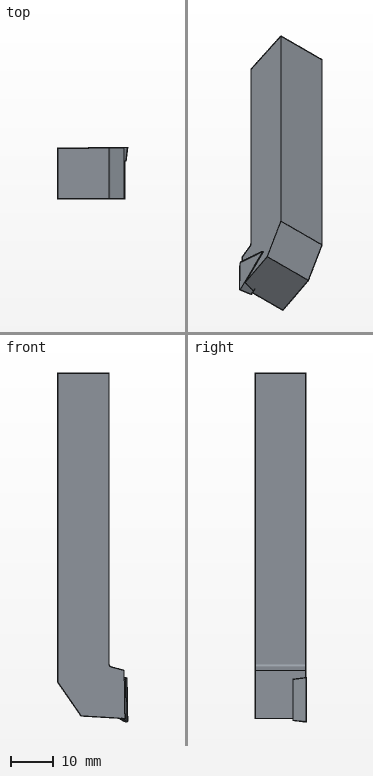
import cadquery as cq
import math

tool_length = 81.35
tool_reach = 16.35
insert_face_y = 12.0

shank_width = 12.0
holder_depth = 11.85
bevel_top_z = 9.32
bevel_foot_x = 5.45
bevel_foot_z = 1.42
head_bottom_x = 15.65
head_bottom_z = 0.82
head_top_x = 15.48
head_top_z = 12.1
shoulder_slope = 15.0
shoulder_fillet = 0.65

insert_edge = 11.0
insert_thickness = 3.18
nose_radius = 0.4
flank_angle = 7.0
edge_tilt = 1.0


def make_insert():
    """Triangular insert with its apex to the left and its cutting face on +Y."""
    tangent_length = nose_radius / math.tan(math.radians(30))
    centre_span = insert_edge - 2 * tangent_length
    lower_x = tool_reach - nose_radius
    lower_z = nose_radius
    upper_direction = math.radians(90 + edge_tilt)
    apex_direction = upper_direction + math.radians(60)

    def from_lower_nose(direction):
        x = lower_x + centre_span * math.cos(direction)
        z = lower_z + centre_span * math.sin(direction)
        return (x, z)

    nose_centres = [
        (lower_x, lower_z),
        from_lower_nose(upper_direction),
        from_lower_nose(apex_direction),
    ]
    return (
        cq.Workplane("XZ", origin=(0, insert_face_y, 0))
        .polyline(nose_centres)
        .close()
        .offset2D(nose_radius)
        .extrude(insert_thickness, taper=flank_angle)
    )


def make_holder(insert):
    """Shank and head in one piece, with a pocket that fits the insert."""
    shoulder_rise = (head_top_x - shank_width) * math.tan(math.radians(shoulder_slope))
    shoulder_z = head_top_z + shoulder_rise
    outline = [
        (0, tool_length),
        (0, bevel_top_z),
        (bevel_foot_x, bevel_foot_z),
        (head_bottom_x, head_bottom_z),
        (head_top_x, head_top_z),
        (shank_width, shoulder_z),
        (shank_width, tool_length),
    ]
    blank = cq.Workplane("XZ").polyline(outline).close().extrude(-holder_depth)
    shoulder_corner = cq.selectors.NearestToPointSelector((shank_width, holder_depth / 2, shoulder_z))
    return blank.edges(shoulder_corner).fillet(shoulder_fillet).cut(insert)


insert = make_insert()
holder = make_holder(insert)

result = cq.Compound.makeCompound([holder.val(), insert.val()])